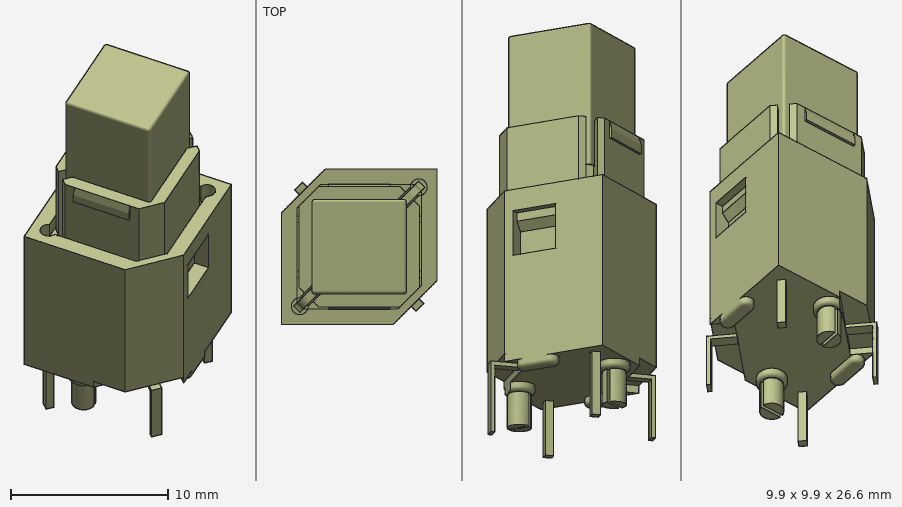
import cadquery as cq
import math

total_height = 26.6
pin_reach = 4.2
bezel_height = 4.6
button_rise = 6.4
button_seat = 1.57
short_pin_trim = 0.55
button_top = total_height - pin_reach
bezel_top = button_top - button_rise
housing_top = bezel_top - bezel_height
button_bottom = housing_top + button_seat
long_pin_bottom = -pin_reach
short_pin_bottom = long_pin_bottom + short_pin_trim

housing_width = 9.9
housing_chamfer = 2.8
housing_face = housing_width / 2

bezel_width = 7.63
bezel_chamfer = 1.22
root_step = 0.13
root_width = bezel_width + 2 * root_step
root_chamfer = bezel_chamfer + 2 * root_step
gap_depth = 1.06
root_depth = 5.32
root_top = housing_top - gap_depth
root_bottom = housing_top - root_depth
root_face = root_width / 2

ridge_length = 3.9
ridge_height = 1.15
ridge_slope_height = 0.55
ridge_depth = 0.15

window_width = 3.09
window_top = housing_top - 1.4
window_bottom = housing_top - 4.4
latch_setback = 0.53
latch_face = housing_face - latch_setback
latch_height = 0.55
latch_slope_height = 0.59
relief_width = 0.43

button_width = 6.0
button_round = 0.19

standoff_height = 0.59
standoff_round = 0.27
disc_diameter = 2.0
post_diameter = 1.55
post_bottom = -2.8
post_slot = 0.2
post_offset_y = 3.8
front_post_x = -1.3
pad_length = 2.87
pad_width = 1.0

notch_height = 0.5
notch_back = 3.45
terminal_width = 0.7
terminal_thickness = 0.27
terminal_outer = 5.45

lead_width = 0.55
lead_thickness = 0.53
lead_upper_face = 4.02
lead_outer_face = 5.6
lead_inner_bend = 0.3
lead_crest_start = 4.6
lead_crest_bend = 0.72
lead_foot_bend = lead_outer_face - lead_crest_start - lead_crest_bend
lead_crest_z = housing_top - 1.0
lead_underside = lead_crest_z - lead_thickness
lead_back = lead_upper_face - lead_thickness
pin_back = lead_outer_face - lead_thickness
lead_slot_width = 0.77
lead_well_diameter = 1.06
lead_well_depth = 2.13

LONG_LEAD_ANGLE = 225
SHORT_LEAD_ANGLE = 45
LONG_TERMINAL_ANGLE = 135
SHORT_TERMINAL_ANGLE = -45
CUT_CORNERS = "<(-1, 1, 0) or >(-1, 1, 0)"
SIN_45 = math.sqrt(0.5)


def block(x_min, x_max, y_min, y_max, z_min, z_max):
    """Box given by its limits."""
    size = (x_max - x_min, y_max - y_min, z_max - z_min)
    return cq.Workplane("XY").box(*size, centered=False).translate((x_min, y_min, z_min))


def square_prism(width, z_min, z_max):
    """Upright square prism centred on the Z axis."""
    return cq.Workplane("XY").workplane(offset=z_min).rect(width, width).extrude(z_max - z_min)


def turned(body, angle):
    """Body turned about the Z axis."""
    return body.rotate((0, 0, 0), (0, 0, 1), angle)


def at_both_ends(body, first_angle=0):
    """Two copies of a feature, half a turn apart."""
    return turned(body, first_angle).union(turned(body, first_angle + 180))


def housing_block():
    """Tall square block with two opposite corners cut off."""
    return square_prism(housing_width, 0, housing_top).edges(CUT_CORNERS).chamfer(housing_chamfer)


def carrier_pocket():
    """Pocket from the housing top down that receives the root of the carrier."""
    return square_prism(root_width, root_bottom, housing_top).edges(CUT_CORNERS).chamfer(root_chamfer)


def latch_window():
    """Window through the +X wall of the housing."""
    half = window_width / 2
    return block(root_face, housing_face, -half, half, window_bottom, window_top)


def side_pad():
    """Round-ended standoff flush with the +X face."""
    return (
        cq.Workplane("XY")
        .center(housing_face - pad_width / 2, 0)
        .slot2D(pad_length, pad_width, 90)
        .extrude(-standoff_height)
        .faces("<Z")
        .edges()
        .fillet(standoff_round)
    )


def split_post(x, y, slot_angle):
    """Round standoff with a thinner post below it, split by a slot."""
    disc = (
        cq.Workplane("XY")
        .circle(disc_diameter / 2)
        .extrude(-standoff_height)
        .faces("<Z")
        .edges()
        .fillet(standoff_round)
    )
    post = (
        cq.Workplane("XY")
        .workplane(offset=-standoff_height)
        .circle(post_diameter / 2)
        .extrude(post_bottom + standoff_height)
    )
    reach = post_diameter / 2
    slot = block(-reach, reach, -post_slot / 2, post_slot / 2, post_bottom, -standoff_height)
    return disc.union(turned(post.cut(slot), slot_angle)).translate((x, y, 0))


def terminal_notch():
    """Notch under a cut corner, built along +X; it also trims the standoffs and runs out on one side."""
    closed_end = housing_chamfer * SIN_45
    return block(notch_back, housing_width, -housing_width, closed_end, -standoff_height, notch_height)


def side_terminal(pin_bottom):
    """L-shaped terminal, built along +X: a strip out of the notch and a pin down."""
    half = terminal_width / 2
    strip_bottom = notch_height - terminal_thickness
    pin_inner = terminal_outer - terminal_thickness
    strip = block(notch_back, terminal_outer, -half, half, strip_bottom, notch_height)
    pin = block(pin_inner, terminal_outer, -half, half, pin_bottom, notch_height)
    return strip.union(pin)


def carrier_block():
    """Bezel with four chamfered corners on a root that fills the pocket of the housing."""
    root = square_prism(root_width, root_bottom, root_top).edges(CUT_CORNERS).chamfer(root_chamfer)
    bezel = square_prism(bezel_width, root_top, bezel_top).edges("|Z").chamfer(bezel_chamfer)
    return root.union(bezel)


def snap_ridge():
    """Wedge-topped ridge on the -Y face of the bezel."""
    face = -bezel_width / 2
    crest = face - ridge_depth
    ridge_bottom = bezel_top - ridge_height
    return (
        cq.Workplane("YZ")
        .moveTo(face, bezel_top)
        .lineTo(crest, bezel_top - ridge_slope_height)
        .lineTo(crest, ridge_bottom)
        .lineTo(face, ridge_bottom)
        .close()
        .extrude(ridge_length / 2, both=True)
    )


def latch():
    """Latch on the +X face of the root, flat on top and sloped below."""
    latch_bottom = window_top - latch_height
    return (
        cq.Workplane("XZ")
        .moveTo(root_face, window_top)
        .lineTo(latch_face, window_top)
        .lineTo(latch_face, latch_bottom)
        .lineTo(root_face, latch_bottom - latch_slope_height)
        .close()
        .extrude(window_width / 2, both=True)
    )


def latch_reliefs():
    """Two shallow grooves beside the latch, in the +X face of the root."""
    inner = window_width / 2
    outer = inner + relief_width
    groove = block(root_face - root_step, root_face, inner, outer, root_bottom, root_top)
    return groove.union(groove.mirror("XZ"))


def lead(pin_bottom):
    """Lead built along +X: an arm from the axis, a bar down, an outward S-bend and a pin."""
    crest_end = lead_crest_start + lead_crest_bend
    crest_low = lead_crest_z - lead_crest_bend
    foot_z = crest_low - lead_foot_bend
    arm_bottom = button_bottom - lead_thickness
    inner_mid = lead_inner_bend * (1 - SIN_45)
    crest_mid = lead_crest_bend * SIN_45
    foot_mid = lead_foot_bend * (1 - SIN_45)
    return (
        cq.Workplane("XZ")
        .moveTo(0, button_bottom)
        .lineTo(lead_upper_face, button_bottom)
        .lineTo(lead_upper_face, lead_crest_z + lead_inner_bend)
        .threePointArc(
            (lead_upper_face + inner_mid, lead_crest_z + inner_mid),
            (lead_upper_face + lead_inner_bend, lead_crest_z),
        )
        .lineTo(lead_crest_start, lead_crest_z)
        .threePointArc((lead_crest_start + crest_mid, crest_low + crest_mid), (crest_end, crest_low))
        .threePointArc((crest_end + foot_mid, foot_z + foot_mid), (lead_outer_face, foot_z))
        .lineTo(lead_outer_face, pin_bottom)
        .lineTo(pin_back, pin_bottom)
        .lineTo(pin_back, lead_underside)
        .lineTo(lead_back, lead_underside)
        .lineTo(lead_back, arm_bottom)
        .lineTo(0, arm_bottom)
        .close()
        .extrude(lead_width / 2, both=True)
    )


def lead_clearance():
    """Slot and round well that leave room round a lead, built along +X."""
    pin_centre = lead_outer_face - lead_thickness / 2
    half = lead_slot_width / 2
    slot = block(lead_back, pin_centre, -half, half, lead_underside, bezel_top)
    well = (
        cq.Workplane("XY")
        .workplane(offset=housing_top - lead_well_depth)
        .center(pin_centre, 0)
        .circle(lead_well_diameter / 2)
        .extrude(lead_well_depth)
    )
    return slot.union(well)


button = square_prism(button_width, button_bottom, button_top).edges("|Z or >Z").fillet(button_round)

lamp = turned(lead(long_pin_bottom), LONG_LEAD_ANGLE).union(turned(lead(short_pin_bottom), SHORT_LEAD_ANGLE))
lamp_clearance = at_both_ends(lead_clearance(), SHORT_LEAD_ANGLE)

carrier = (
    carrier_block()
    .cut(at_both_ends(latch_reliefs()))
    .union(at_both_ends(latch()))
    .union(at_both_ends(snap_ridge()))
    .cut(lamp_clearance)
    .cut(lamp)
    .cut(button)
)

housing = (
    housing_block()
    .cut(carrier_pocket())
    .cut(at_both_ends(latch_window()))
    .cut(lamp_clearance)
    .union(at_both_ends(side_pad()))
    .union(split_post(front_post_x, -post_offset_y, 0))
    .union(split_post(0, post_offset_y, 90))
    .cut(at_both_ends(terminal_notch(), SHORT_TERMINAL_ANGLE))
    .union(turned(side_terminal(long_pin_bottom), LONG_TERMINAL_ANGLE))
    .union(turned(side_terminal(short_pin_bottom), SHORT_TERMINAL_ANGLE))
    .cut(lamp)
)

bodies = [housing, carrier, button, lamp]
result = cq.Compound.makeCompound([body.solids().val() for body in bodies])